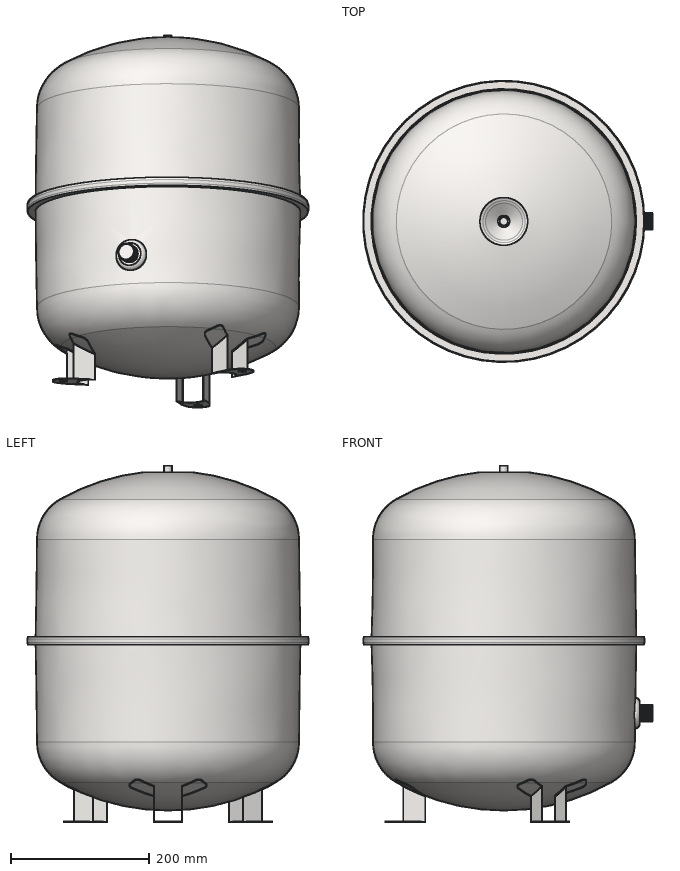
import cadquery as cq
import math

MID_Z = 262.5
SHELL_RADIUS = 189.5
SEAM_RADIUS = 191.5
TANGENT_RISE = 146.5
KNUCKLE = 67.0
CROWN_ANGLE = 29.5

RING_DIAMETER = 407.0
RING_FACE_DIAMETER = 405.0
RING_HEIGHT = 12.0
RING_BAND_HEIGHT = 5.0

RECESS_RADIUS = 34.5
RIM_RADIUS = 30.5
RIM_DROP = 2.0
BOWL_RADIUS = 27.0
BOWL_DROP = 4.0
RECESS_DEPTH = 18.5
VALVE_TOP = 515.5
COLLAR_TOP = 500.5
COLLAR_DIAMETER = 17.0
STEM_DIAMETER = 12.0

PORT_Z = 157.5
PORT_END = 215.5
THREAD_DIAMETER = 24.5
THREAD_DEPTH = 1.0
THREAD_PITCH = 2.0
THREAD_COUNT = 8
THREAD_START = 197.0
BOSS_DIAMETER = 45.5
BOSS_FACE_DIAMETER = 33.0
BOSS_EDGE = 188.5
BOSS_MIDDLE = (194.5, 20.5)
BOSS_ROOT = 154.5

LEG_ANGLES = (60, 180, 300)
SHEET = 1.0
LEG_HALF_WIDTH = 20.5
PLATE_INNER = 113.5
PLATE_OUTER = 145.5
PLATE_HEIGHT = 72.0
FOOT_HOLE_X = 155.5
FOOT_END_X = 153.0
FOOT_END_RADIUS = 18.0
FOOT_HOLE_DIAMETER = 12.0
FLAP_ANGLE = 60.0
FLAP_LENGTH = 28.5
FLAP_CORNER = 7.5
FLAP_BLANK = 103.0

half_angle = math.radians(CROWN_ANGLE)
knuckle_center = SHELL_RADIUS - KNUCKLE
crown_radius = KNUCKLE + knuckle_center / math.sin(half_angle)
crown_center_rise = TANGENT_RISE - knuckle_center / math.tan(half_angle)


def head_points(offset=0.0):
    """Points (radius, rise from the seam) of a head: tangent, knuckle middle, join, crown middle, apex."""
    knuckle = KNUCKLE + offset
    crown = crown_radius + offset
    middle = math.radians(90 - CROWN_ANGLE) / 2

    def on_knuckle(angle):
        return (knuckle_center + knuckle * math.cos(angle), TANGENT_RISE + knuckle * math.sin(angle))

    return (
        on_knuckle(0),
        on_knuckle(middle),
        on_knuckle(2 * middle),
        (crown * math.sin(half_angle / 2), crown_center_rise + crown * math.cos(half_angle / 2)),
        (0, crown_center_rise + crown),
    )


def half_shell(offset=0.0):
    """One closed half of the tank, its open side at the origin and its crown up."""
    tangent, knuckle_mid, join, crown_mid, apex = head_points(offset)
    return (
        cq.Workplane("XZ")
        .lineTo(SEAM_RADIUS + offset, 0)
        .lineTo(*tangent)
        .threePointArc(knuckle_mid, join)
        .threePointArc(crown_mid, apex)
        .close()
        .revolve(360, (0, 0, 0), (0, 1, 0))
    )


def upper(shape):
    return shape.translate((0, 0, MID_Z))


def lower(shape):
    return shape.mirror("XY").translate((0, 0, MID_Z))


def ring():
    """Seam ring with a sloped edge above and below its upright band."""
    half_height = RING_HEIGHT / 2
    half_band = RING_BAND_HEIGHT / 2
    return (
        cq.Workplane("XZ")
        .moveTo(0, -half_height)
        .lineTo(RING_FACE_DIAMETER / 2, -half_height)
        .lineTo(RING_DIAMETER / 2, -half_band)
        .lineTo(RING_DIAMETER / 2, half_band)
        .lineTo(RING_FACE_DIAMETER / 2, half_height)
        .lineTo(0, half_height)
        .close()
        .revolve(360, (0, 0, 0), (0, 1, 0))
        .translate((0, 0, MID_Z))
    )


def recess():
    """The conical bowl with a bevelled rim cut into the crown around the valve."""
    edge_z = MID_Z + crown_center_rise + math.sqrt(crown_radius**2 - RECESS_RADIUS**2)
    floor_z = edge_z - RECESS_DEPTH
    return (
        cq.Workplane("XZ")
        .moveTo(0, floor_z)
        .lineTo(COLLAR_DIAMETER / 2, floor_z)
        .lineTo(BOWL_RADIUS, edge_z - BOWL_DROP)
        .lineTo(RIM_RADIUS, edge_z - RIM_DROP)
        .lineTo(RECESS_RADIUS, edge_z)
        .lineTo(RECESS_RADIUS, VALVE_TOP)
        .lineTo(0, VALVE_TOP)
        .close()
        .revolve(360, (0, 0, 0), (0, 1, 0))
    )


def valve():
    """Collar and thinner stem, rooted below the floor of the recess."""
    collar = (
        cq.Workplane("XY", origin=(0, 0, COLLAR_TOP))
        .circle(COLLAR_DIAMETER / 2)
        .extrude(-RECESS_DEPTH)
    )
    stem = (
        cq.Workplane("XY", origin=(0, 0, COLLAR_TOP))
        .circle(STEM_DIAMETER / 2)
        .extrude(VALVE_TOP - COLLAR_TOP)
    )
    return collar.union(stem)


def port():
    """Welded boss with a threaded stub; the thread is a row of V-shaped rings."""
    crest = THREAD_DIAMETER / 2
    profile = (
        cq.Workplane("XY")
        .moveTo(BOSS_ROOT, 0)
        .lineTo(BOSS_ROOT, BOSS_DIAMETER / 2)
        .lineTo(BOSS_EDGE, BOSS_DIAMETER / 2)
        .threePointArc(BOSS_MIDDLE, (THREAD_START, BOSS_FACE_DIAMETER / 2))
        .lineTo(THREAD_START, crest)
    )
    for turn in range(THREAD_COUNT):
        start = THREAD_START + turn * THREAD_PITCH
        profile = profile.lineTo(start + THREAD_PITCH / 2, crest - THREAD_DEPTH)
        profile = profile.lineTo(start + THREAD_PITCH, crest)
    outline = (
        profile.lineTo(PORT_END - THREAD_DEPTH, crest)
        .lineTo(PORT_END, crest - THREAD_DEPTH)
        .lineTo(PORT_END, 0)
        .close()
    )
    return outline.revolve(360, (0, 0, 0), (1, 0, 0)).translate((0, 0, PORT_Z))


def leg_foot():
    """Flat foot tapering to a round end, with a bolt hole and a round notch towards the tank axis."""
    corner_x = PLATE_OUTER - FOOT_END_X
    tangent_angle = math.atan2(LEG_HALF_WIDTH, corner_x) - math.acos(
        FOOT_END_RADIUS / math.hypot(corner_x, LEG_HALF_WIDTH)
    )
    tangent_x = FOOT_END_X + FOOT_END_RADIUS * math.cos(tangent_angle)
    tangent_y = FOOT_END_RADIUS * math.sin(tangent_angle)
    foot = (
        cq.Workplane("XY")
        .moveTo(PLATE_INNER, -LEG_HALF_WIDTH)
        .lineTo(PLATE_OUTER, -LEG_HALF_WIDTH)
        .lineTo(tangent_x, -tangent_y)
        .threePointArc((FOOT_END_X + FOOT_END_RADIUS, 0), (tangent_x, tangent_y))
        .lineTo(PLATE_OUTER, LEG_HALF_WIDTH)
        .lineTo(PLATE_INNER, LEG_HALF_WIDTH)
        .threePointArc((PLATE_INNER + LEG_HALF_WIDTH, 0), (PLATE_INNER, -LEG_HALF_WIDTH))
        .close()
        .extrude(SHEET)
    )
    hole = cq.Workplane("XY").center(FOOT_HOLE_X, 0).circle(FOOT_HOLE_DIAMETER / 2).extrude(SHEET)
    return foot.cut(hole)


def leg_side():
    """Upright plate and the flap at its top that follows the bottom of the tank."""
    plate = (
        cq.Workplane("XY")
        .moveTo(PLATE_INNER, LEG_HALF_WIDTH - SHEET)
        .lineTo(PLATE_OUTER, LEG_HALF_WIDTH - SHEET)
        .lineTo(PLATE_OUTER, LEG_HALF_WIDTH)
        .lineTo(PLATE_INNER, LEG_HALF_WIDTH)
        .close()
        .extrude(PLATE_HEIGHT)
    )
    angle = math.radians(FLAP_ANGLE)
    plate_length = PLATE_OUTER - PLATE_INNER
    long_edge = FLAP_LENGTH + plate_length * math.cos(angle)
    reach = (math.cos(angle), math.sin(angle))
    flap = (
        cq.Workplane("XY")
        .moveTo(PLATE_INNER, LEG_HALF_WIDTH - SHEET)
        .lineTo(PLATE_OUTER, LEG_HALF_WIDTH - SHEET)
        .lineTo(PLATE_OUTER, LEG_HALF_WIDTH)
        .lineTo(PLATE_OUTER + FLAP_LENGTH * reach[0], LEG_HALF_WIDTH + FLAP_LENGTH * reach[1])
        .lineTo(PLATE_INNER + long_edge * reach[0], LEG_HALF_WIDTH + long_edge * reach[1])
        .lineTo(PLATE_INNER, LEG_HALF_WIDTH)
        .close()
        .extrude(FLAP_BLANK)
        .edges("|Z and (>X or >Y)")
        .fillet(FLAP_CORNER)
        .intersect(lower(half_shell(SHEET)))
    )
    return plate.union(flap)


def leg():
    side = leg_side()
    return leg_foot().union(side).union(side.mirror("XZ")).cut(lower(half_shell()))


tank = upper(half_shell()).union(lower(half_shell())).union(ring())
tank = tank.cut(recess()).union(valve()).union(port())

leg_shape = leg()
legs = [leg_shape.rotate((0, 0, 0), (0, 0, 1), angle) for angle in LEG_ANGLES]

result = cq.Compound.makeCompound([tank.val(), *(copy.val() for copy in legs)])